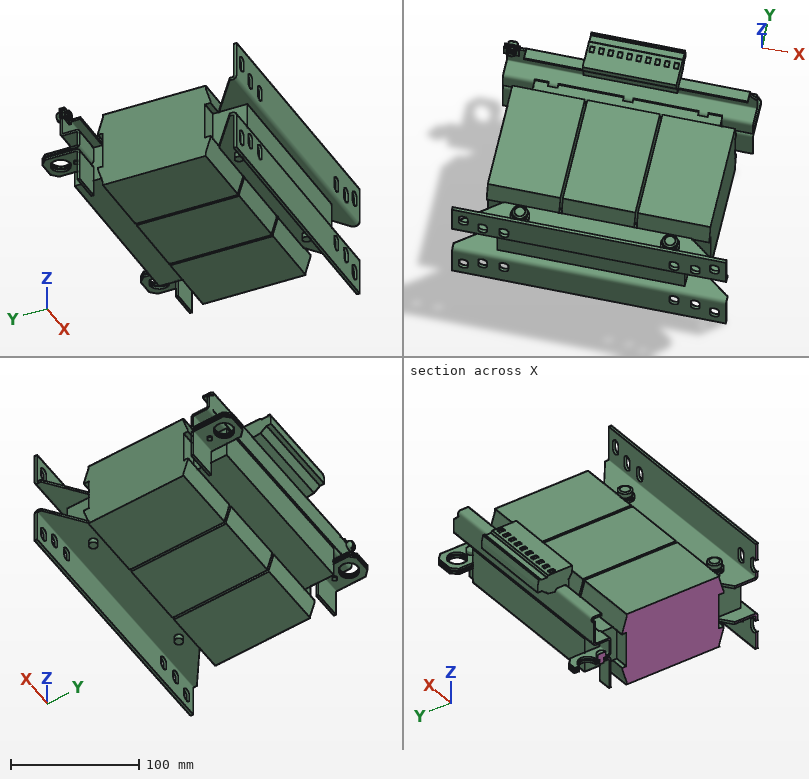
import cadquery as cq
import math


leg_width = 30.0
leg_pitch = 2 * leg_width
core_size = 5 * leg_width
core_half_width = core_size / 2
core_half_depth = 15.8
core_front = 7.5
core_back = core_front + core_size
front_yoke_back = core_front + leg_width
back_yoke_front = core_back - leg_width

coil_width = 58.0
coil_half_depth = 33.7
coil_rim = 2.5
coil_lip = 1.5
coil_front = 32.7
coil_back = 130.5
coil_end_taper = 4.25
coil_yoke_gap = 1.0
coil_positions = (-leg_pitch, 0, leg_pitch)

angle_thickness = 2.5
angle_bend = 3.5
angle_half_length = 109.5
angle_half_height = 50.0
angle_depth = 32.0
angle_end_depth = 6.0
slot_width = 7.2
slot_length = 13.0
slots = ((100.3, 35.3), (85.0, 28.7), (68.0, 28.1))

bolt_positions = (-leg_pitch, leg_pitch)
bolt_y = 22.1
bolt_diameter = 7.0
bolt_end = -22.8
washer_diameter = 14.8
washer_thickness = 2.0
spring_washer_diameter = 11.4
spring_washer_thickness = 1.5
head_diameter = 11.8
head_height = 4.8
head_crown_diameter = 8.3
head_crown_height = 0.8

sheet = 2.0
sheet_bend = 3.0
carrier_half_length = 100.0
carrier_front = 141.0
carrier_back = 158.0
carrier_plate_top = core_half_depth + sheet
rail_top = 41.3
rail_flange_front = 148.0
rail_flange_left = -84.6
rail_flange_right = 94.3
rail_end_chamfer = 8.0
tab_width = 7.8
tab_positions = (-leg_pitch, 0, leg_pitch)

lug_width = carrier_half_length - core_half_width
lug_position = carrier_half_length - lug_width / 2
lug_end = 176.0
lug_half_stack = 2.7
lug_corner = 5.0
lug_hole_diameter = 16.0
lug_hole_y = lug_end - lug_width / 2
lug_strip_bottom = -30.0

lug_screw_y = 150.0
lug_screw_diameter = 4.0
lug_screw_end = -4.0
lug_screw_head_diameter = 8.2
lug_screw_head_top = 6.4
lug_screw_head_round = 1.0

terminal_pitch = 7.5
terminal_count = 10
terminal_left = -36.3
terminal_length = terminal_count * terminal_pitch
terminal_top = 57.0
terminal_profile = (
    (141.7, terminal_top),
    (164.7, terminal_top),
    (166.0, 55.4),
    (171.5, 55.4),
    (172.0, 56.3),
    (173.7, 56.3),
    (174.8, 50.6),
    (174.8, 44.5),
    (170.7, 44.5),
    (165.0, 39.7),
    (148.5, 37.0),
    (145.1, 38.0),
    (145.1, 45.0),
    (141.7, 50.9),
)
wire_entry_width = 3.4
wire_entry_length = 5.0
wire_entry_depth = 1.0
wire_entry_y = 158.8

earth_x = -95.8
earth_z = 37.0
earth_screw_diameter = 8.3
earth_washer_thickness = 0.8
earth_head_end = 162.0
earth_head_round = 2.0
earth_slot_width = 1.2
earth_slot_depth = 1.5
earth_clamp_width = 12.2
earth_clamp_layers = ((156.4, 157.7), (153.3, 155.0))
earth_nut_diameter = 7.8
earth_nut_front = 151.8
earth_shank_diameter = 4.8
earth_shank_front = 150.7


def box(x_range, y_range, z_range):
    """Box between the given limits."""
    size = [high - low for low, high in (x_range, y_range, z_range)]
    return cq.Workplane().box(*size, centered=False).translate((x_range[0], y_range[0], z_range[0]))


def extrude_along_x(profile, x_start, x_end):
    """Extrude a closed YZ outline between two X positions."""
    plane = cq.Workplane("YZ", origin=(x_start, 0, 0))
    return plane.polyline(profile).close().extrude(x_end - x_start)


def bent_angle(corner, y_end, z_end, thickness, bend, x_start, x_end):
    """Sheet bent to an L: a flat leg reaching y_end and an upright leg reaching z_end.

    corner is the sharp (Y, Z) corner of the outer faces and bend the outer bend radius.
    """
    y, z = corner
    y_dir = math.copysign(1, y_end - y)
    z_dir = math.copysign(1, z_end - z)
    outer_mid = bend * (1 - math.sqrt(0.5))
    inner_mid = bend - (bend - thickness) * math.sqrt(0.5)

    def at(along_y, along_z):
        return (y + y_dir * along_y, z + z_dir * along_z)

    y_length = abs(y_end - y)
    z_length = abs(z_end - z)
    return (
        cq.Workplane("YZ", origin=(x_start, 0, 0))
        .moveTo(*at(y_length, 0))
        .lineTo(*at(bend, 0))
        .threePointArc(at(outer_mid, outer_mid), at(0, bend))
        .lineTo(*at(0, z_length))
        .lineTo(*at(thickness, z_length))
        .lineTo(*at(thickness, bend))
        .threePointArc(at(inner_mid, inner_mid), at(bend, thickness))
        .lineTo(*at(y_length, thickness))
        .close()
        .extrude(x_end - x_start)
    )


def cylinder_z(x, y, diameter, z_start, z_end):
    """Upright cylinder between two Z positions."""
    return cq.Workplane(origin=(x, y, z_start)).circle(diameter / 2).extrude(z_end - z_start)


def cylinder_y(x, z, diameter, y_start, y_end):
    """Cylinder along Y between two Y positions."""
    return cq.Workplane("XZ", origin=(x, y_start, z)).circle(diameter / 2).extrude(y_start - y_end)


def make_core():
    """Front and back yokes; the legs lie inside the coils."""
    across = (-core_half_width, core_half_width)
    depth = (-core_half_depth, core_half_depth)
    core = box(across, (core_front, front_yoke_back), depth)
    core = core.union(box(across, (back_yoke_front, core_back), depth))
    for x in coil_positions:
        leg = (x - leg_width / 2, x + leg_width / 2)
        core = core.union(box(leg, (core_front, core_back), depth))
    return core


def make_coil(x):
    """Coil whose ends taper out above and below the yokes and are recessed at the yokes."""
    rim_z = coil_half_depth - coil_rim
    lip_z = core_half_depth + coil_lip
    back_recess = back_yoke_front - coil_yoke_gap
    upper_half = [
        (front_yoke_back, core_half_depth),
        (coil_front, core_half_depth),
        (coil_front, lip_z),
        (coil_front + coil_end_taper, rim_z),
        (coil_front + coil_end_taper, coil_half_depth),
        (coil_back - coil_end_taper, coil_half_depth),
        (coil_back - coil_end_taper, rim_z),
        (coil_back, lip_z),
        (coil_back, core_half_depth),
        (back_recess, core_half_depth),
    ]
    lower_half = [(y, -z) for y, z in reversed(upper_half)]
    return extrude_along_x(upper_half + lower_half, x - coil_width / 2, x + coil_width / 2)


def make_mounting_angle():
    """Upper mounting angle: slotted upright flange and a tapered flange lying on the yoke."""
    angle = bent_angle(
        (0, core_half_depth),
        angle_depth,
        angle_half_height,
        angle_thickness,
        angle_bend,
        -angle_half_length,
        angle_half_length,
    )
    half_outline = [
        (angle_half_length, 0),
        (angle_half_length, angle_end_depth),
        (core_half_width, angle_depth),
    ]
    outline = half_outline + [(-x, y) for x, y in reversed(half_outline)]
    angle = angle.intersect(cq.Workplane().polyline(outline).close().extrude(angle_half_height))
    slot_centres = [(side * x, z) for side in (-1, 1) for x, z in slots]
    cutter = (
        cq.Workplane("XZ")
        .pushPoints(slot_centres)
        .slot2D(slot_length, slot_width, 90)
        .extrude(-angle_thickness)
    )
    return angle.cut(cutter)


def make_bolt(x):
    """Clamping bolt with flat washer, spring washer and chamfered round head."""
    seat = core_half_depth + angle_thickness
    washer_top = seat + washer_thickness
    head_base = washer_top + spring_washer_thickness
    head_top = head_base + head_height
    crown_inset = (head_diameter - head_crown_diameter) / 2
    head = cylinder_z(x, bolt_y, head_diameter, head_base, head_top)
    head = head.faces(">Z").edges().chamfer(head_crown_height, crown_inset)
    bolt = cylinder_z(x, bolt_y, bolt_diameter, bolt_end, head_base)
    washer = cylinder_z(x, bolt_y, washer_diameter, seat, washer_top)
    spring_washer = cylinder_z(x, bolt_y, spring_washer_diameter, washer_top, head_base)
    return bolt.union(washer).union(spring_washer).union(head)


def make_carrier():
    """Carrier plate on the back yoke, with its bent-down tabs, upright rail and rail flange.

    The rail is chamfered at its right end.
    """
    ends = (-carrier_half_length, carrier_half_length)
    carrier = bent_angle(
        (carrier_back, core_half_depth),
        carrier_front + sheet_bend,
        rail_top - sheet_bend,
        sheet,
        sheet_bend,
        *ends,
    )
    carrier = carrier.edges("|Y and >X and >Z").chamfer(rail_end_chamfer)
    flange = bent_angle(
        (carrier_back, rail_top),
        rail_flange_front,
        carrier_plate_top,
        sheet,
        sheet_bend,
        rail_flange_left,
        rail_flange_right,
    )
    carrier = carrier.union(flange)
    for x in tab_positions:
        tab = bent_angle(
            (carrier_front, carrier_plate_top),
            carrier_front + 2 * sheet_bend,
            0,
            sheet,
            sheet_bend,
            x - tab_width / 2,
            x + tab_width / 2,
        )
        carrier = carrier.union(tab)
    return carrier


def make_lug(x):
    """Lifting lug of two stacked sheets, one hanging from the carrier and one with a lower strip."""
    span = (x - lug_width / 2, x + lug_width / 2)
    upright_top = carrier_plate_top - sheet_bend
    upper = bent_angle(
        (carrier_front, lug_half_stack - sheet), lug_end, upright_top, sheet, sheet_bend, *span
    )
    drop = bent_angle(
        (carrier_front, carrier_plate_top),
        carrier_front + 2 * sheet_bend,
        lug_half_stack + sheet,
        sheet,
        sheet_bend,
        *span,
    )
    lower = bent_angle(
        (carrier_front, sheet - lug_half_stack), lug_end, lug_strip_bottom, sheet, sheet_bend, *span
    )
    lug = upper.union(drop).union(lower)
    stack = box(span, (carrier_front, lug_end), (lug_strip_bottom, carrier_plate_top))
    stack = stack.edges("|Z and >Y").chamfer(lug_corner)
    lug = lug.intersect(stack)
    lug = lug.cut(cylinder_z(x, lug_hole_y, lug_hole_diameter, -lug_half_stack, lug_half_stack))
    head = cylinder_z(x, lug_screw_y, lug_screw_head_diameter, lug_half_stack, lug_screw_head_top)
    head = head.faces(">Z").edges().fillet(lug_screw_head_round)
    shank = cylinder_z(x, lug_screw_y, lug_screw_diameter, lug_screw_end, lug_half_stack)
    return lug.union(shank).union(head)


def make_terminal_block():
    """Row of terminals with a rectangular wire entry in the top of each."""
    block = extrude_along_x(terminal_profile, terminal_left, terminal_left + terminal_length)
    first = terminal_left + terminal_pitch / 2
    centres = [(first + i * terminal_pitch, wire_entry_y) for i in range(terminal_count)]
    entries = (
        cq.Workplane(origin=(0, 0, terminal_top))
        .pushPoints(centres)
        .rect(wire_entry_width, wire_entry_length)
        .extrude(-wire_entry_depth)
    )
    return block.cut(entries)


def make_earth_screw():
    """Earth screw with a slotted round head, washer, two clamp plates, nut and shank."""
    washer_back = carrier_back + earth_washer_thickness
    slot_floor = earth_head_end - earth_slot_depth
    half_height = earth_screw_diameter / 2
    height = (earth_z - half_height, earth_z + half_height)
    slot_x = (earth_x - earth_slot_width / 2, earth_x + earth_slot_width / 2)
    clamp_x = (earth_x - earth_clamp_width / 2, earth_x + earth_clamp_width / 2)

    head = cylinder_y(earth_x, earth_z, earth_screw_diameter, washer_back, earth_head_end)
    head = head.faces(">Y").edges().fillet(earth_head_round)
    head = head.cut(box(slot_x, (slot_floor, earth_head_end), height))
    washer = cylinder_y(earth_x, earth_z, earth_screw_diameter, carrier_back, washer_back)
    shank = cylinder_y(earth_x, earth_z, earth_shank_diameter, earth_shank_front, washer_back)
    nut_back = earth_clamp_layers[-1][0]
    nut = cylinder_y(earth_x, earth_z, earth_nut_diameter, earth_nut_front, nut_back)
    screw = head.union(washer).union(shank).union(nut)
    for layer in earth_clamp_layers:
        screw = screw.union(box(clamp_x, layer, height))
    return screw


result = make_core()
for coil_x in coil_positions:
    result = result.union(make_coil(coil_x))

mounting_angle = make_mounting_angle()
result = result.union(mounting_angle).union(mounting_angle.mirror("XY"))
for bolt_x in bolt_positions:
    result = result.union(make_bolt(bolt_x))

result = result.union(make_carrier())
for lug_x in (-lug_position, lug_position):
    result = result.union(make_lug(lug_x))

result = result.union(make_terminal_block()).union(make_earth_screw())